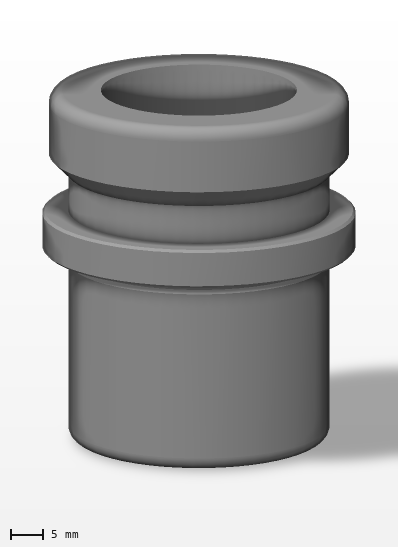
import cadquery as cq

total_height = 55.0
head_rim_bottom = 45.0
neck_top = 42.0
flange_top = 36.0
flange_bottom = 30.0
groove_bottom = 28.55
groove_chamfer_bottom = 28.0

bore_radius = 15.0
body_radius = 20.0
groove_radius = 19.4
head_radius = 23.0
flange_radius = 48.0 / 2

end_round = 2.0
flange_chamfer = 0.4


def ring(radius, bottom, top):
    """Solid cylinder about Z between two heights."""
    return cq.Workplane("XY").workplane(offset=bottom).circle(radius).extrude(top - bottom)


spigot = ring(body_radius, 0, groove_chamfer_bottom).faces("<Z").edges().fillet(end_round)

groove_wall = (
    cq.Workplane("XZ")
    .moveTo(0, groove_chamfer_bottom)
    .lineTo(body_radius, groove_chamfer_bottom)
    .lineTo(groove_radius, groove_bottom)
    .lineTo(0, groove_bottom)
    .close()
    .revolve(360, (0, 0, 0), (0, 1, 0))
)
groove_core = ring(groove_radius, groove_bottom, flange_bottom)

flange = ring(flange_radius, flange_bottom, flange_top).edges().chamfer(flange_chamfer)

neck = ring(body_radius, flange_top, neck_top)
head = (
    cq.Workplane("XZ")
    .moveTo(0, neck_top)
    .lineTo(body_radius, neck_top)
    .lineTo(head_radius, head_rim_bottom)
    .lineTo(head_radius, total_height)
    .lineTo(0, total_height)
    .close()
    .revolve(360, (0, 0, 0), (0, 1, 0))
    .faces(">Z")
    .edges()
    .fillet(end_round)
)

bore = ring(bore_radius, 0, total_height)

result = spigot.union(groove_wall).union(groove_core).union(flange).union(neck).union(head).cut(bore)